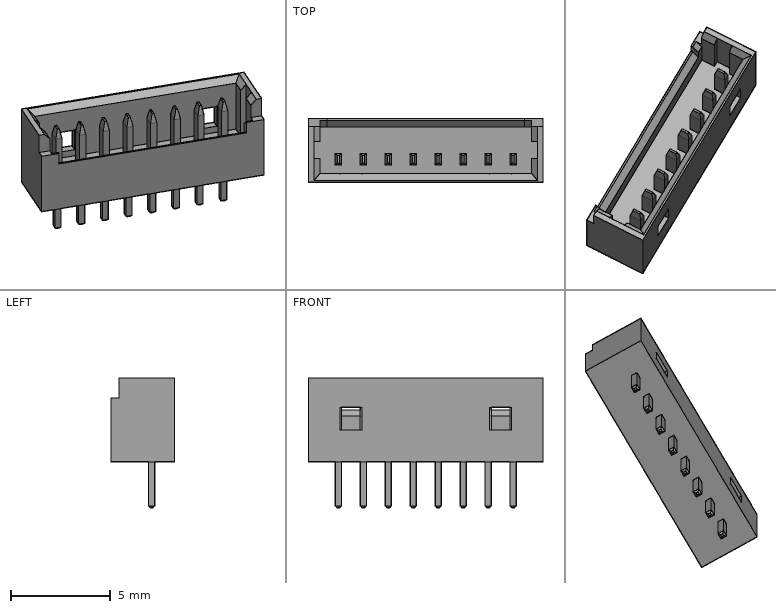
import cadquery as cq


body_length = 11.75
body_depth = 3.2
body_height = 4.2

floor_thickness = 1.25
end_wall = 0.57
long_wall = 0.43
long_wall_rim = 0.1
end_wall_rim = 0.285
lead_in_height = 0.3

back_step_depth = 0.4
back_corner_height = 3.2
back_opening_height = 2.6
back_opening_inset = 0.92

groove_start = 1.2
groove_end = 2.05

window_width = 1.1
window_bottom = 1.6
window_top = 2.73
window_spacing_pitches = 6

pin_count = 8
pin_pitch = 1.25
pin_row_y = 1.155
blade_width = 0.33
blade_depth = 0.6
blade_top = 3.5
blade_taper = 0.5
blade_tip_width = 0.1
blade_tip_depth = 0.4
tail_side = 0.32
tail_length = 2.3
tail_tip_side = 0.12
tail_taper = 0.1

cavity_length = body_length - 2 * end_wall
window_offset = window_spacing_pitches * pin_pitch / 2
mouth_length = body_length - 2 * end_wall_rim
cavity_back = body_depth - long_wall
step_front = body_depth - back_step_depth


def box(x_range, y_range, z_range):
    """Box spanning the given (low, high) ranges."""
    lows, highs = zip(x_range, y_range, z_range)
    sizes = [high - low for low, high in zip(lows, highs)]
    return cq.Workplane("XY").box(*sizes, centered=False).translate(lows)


def centred_box(length, y_range, z_range):
    """Box of the given X length, centred on X = 0."""
    return box((-length / 2, length / 2), y_range, z_range)


def frustum(centre, z_start, height, start_size, end_size):
    """Rectangular frustum from start_size at z_start to end_size at z_start + height."""
    return (
        cq.Workplane("XY", origin=(*centre, z_start))
        .rect(*start_size)
        .workplane(offset=height)
        .rect(*end_size)
        .loft(ruled=True)
    )


def lead_in(y_range, mouth_y_range, top):
    """Tapered cavity mouth that widens up to the given height."""
    base_length_y = y_range[1] - y_range[0]
    base_y = sum(y_range) / 2
    mouth_length_y = mouth_y_range[1] - mouth_y_range[0]
    mouth_y = sum(mouth_y_range) / 2
    return (
        cq.Workplane("XY", origin=(0, base_y, top - lead_in_height))
        .rect(cavity_length, base_length_y)
        .workplane(offset=lead_in_height)
        .center(0, mouth_y - base_y)
        .rect(mouth_length, mouth_length_y)
        .loft(ruled=True)
    )


def back_lead_in(length, top):
    """Wedge that bevels the inner edge of the back wall below the given height."""
    return (
        cq.Workplane("YZ", origin=(-length / 2, 0, 0))
        .moveTo(cavity_back, top)
        .lineTo(body_depth - long_wall_rim, top)
        .lineTo(cavity_back, top - lead_in_height)
        .close()
        .extrude(length)
    )


def make_housing():
    housing = centred_box(body_length, (0, body_depth), (0, body_height))

    housing = housing.cut(
        centred_box(body_length, (step_front, body_depth), (back_corner_height, body_height))
    )
    housing = housing.cut(
        centred_box(cavity_length, (cavity_back, body_depth), (back_corner_height, body_height))
    )

    housing = housing.cut(
        centred_box(cavity_length, (long_wall, cavity_back), (floor_thickness, body_height))
    )
    housing = housing.cut(lead_in((long_wall, step_front), (long_wall_rim, step_front), body_height))

    opening_length = body_length - 2 * back_opening_inset
    housing = housing.cut(back_lead_in(cavity_length, back_corner_height))
    housing = housing.cut(
        centred_box(opening_length, (cavity_back, body_depth), (back_opening_height, back_corner_height))
    )
    housing = housing.cut(back_lead_in(opening_length, back_opening_height))

    housing = housing.cut(
        centred_box(mouth_length, (groove_start, groove_end), (floor_thickness, body_height))
    )

    for window_x in (-window_offset, window_offset):
        x_range = (window_x - window_width / 2, window_x + window_width / 2)
        housing = housing.cut(box(x_range, (0, long_wall), (window_bottom, window_top)))
    return housing


def make_pin(x):
    """Flat contact blade in the cavity with a square solder tail below the housing."""
    centre = (x, pin_row_y)
    blade_size = (blade_width, blade_depth)
    blade_tip = (blade_tip_width, blade_tip_depth)
    tail_size = (tail_side, tail_side)
    tail_tip = (tail_tip_side, tail_tip_side)
    shoulder = blade_top - blade_taper

    blade = cq.Workplane("XY", origin=(*centre, 0)).rect(*blade_size).extrude(shoulder)
    tail = cq.Workplane("XY", origin=(*centre, 0)).rect(*tail_size).extrude(tail_taper - tail_length)
    pin = blade.union(tail)
    pin = pin.union(frustum(centre, shoulder, blade_taper, blade_size, blade_tip))
    return pin.union(frustum(centre, -tail_length, tail_taper, tail_tip, tail_size))


result = make_housing()
for index in range(pin_count):
    result = result.union(make_pin((index - (pin_count - 1) / 2) * pin_pitch))